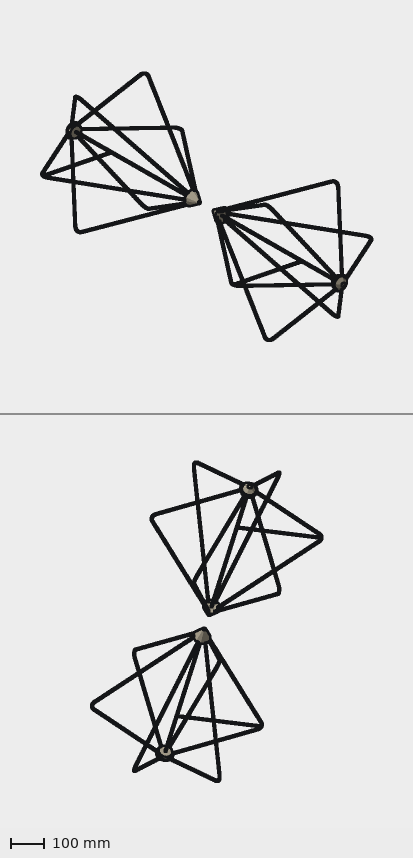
import cadquery as cq
import math


OVERALL_LENGTH = 1322.0

WIRE_DIAMETER = 6.3
WIRE_RADIUS = WIRE_DIAMETER / 2
WIRE_COUNT = 6
CAGE_RADIUS = 260.0
APEX_RADIUS = CAGE_RADIUS - WIRE_RADIUS
APEX_X = 457.0
BEND_RADIUS = 26.0
BRACE_X = 461.0

CONE_TIP_X = 36.0
CONE_BASE_X = 74.0
CONE_TIP_RADIUS = 5.0
CONE_BASE_RADIUS = 26.0

HUB_INNER_X = 633.0
HUB_FLANGE_X = 646.0
HUB_OUTER_X = OVERALL_LENGTH / 2
HUB_BODY_RADIUS = 21.0
HUB_FLANGE_RADIUS = 26.0
HUB_FACE_RADIUS = 7.0

WIRE_INNER_RADIUS = 16.0
WIRE_OUTER_RADIUS = 19.0
WIRE_INNER_END = (CONE_BASE_X - WIRE_DIAMETER, WIRE_INNER_RADIUS)
WIRE_OUTER_END = (HUB_FLANGE_X - WIRE_RADIUS, WIRE_OUTER_RADIUS)


def revolved(profile):
    """Turn a closed (x, radius) profile about the X axis."""
    return cq.Workplane("XY").polyline(profile).close().revolve(360, (0, 0, 0), (1, 0, 0))


def feed_cone():
    return revolved([
        (CONE_TIP_X, 0),
        (CONE_TIP_X, CONE_TIP_RADIUS),
        (CONE_BASE_X, CONE_BASE_RADIUS),
        (CONE_BASE_X, 0),
    ])


def hub():
    return revolved([
        (HUB_INNER_X, 0),
        (HUB_INNER_X, HUB_BODY_RADIUS),
        (HUB_FLANGE_X, HUB_BODY_RADIUS),
        (HUB_FLANGE_X, HUB_FLANGE_RADIUS),
        (HUB_OUTER_X, HUB_FACE_RADIUS),
        (HUB_OUTER_X, 0),
    ])


def axial_rod():
    overlap = WIRE_DIAMETER
    length = HUB_INNER_X - CONE_BASE_X + 2 * overlap
    return (
        cq.Workplane("YZ", origin=(CONE_BASE_X - overlap, 0, 0))
        .circle(WIRE_RADIUS)
        .extrude(length)
    )


def bend_tangent(end, side):
    """Point where a straight leg from `end` meets the bend; side is -1 or +1."""
    centre_x, centre_r = APEX_X, APEX_RADIUS - BEND_RADIUS
    dx, dr = end[0] - centre_x, end[1] - centre_r
    angle = math.atan2(dr, dx) + side * math.acos(BEND_RADIUS / math.hypot(dx, dr))
    return (centre_x + BEND_RADIUS * math.cos(angle), centre_r + BEND_RADIUS * math.sin(angle))


def bent_wire():
    """One wire in the XY plane on the +Y side: two straight legs and a round bend."""
    inner_tangent = bend_tangent(WIRE_INNER_END, -1)
    outer_tangent = bend_tangent(WIRE_OUTER_END, 1)
    path = (
        cq.Workplane("XY")
        .moveTo(*WIRE_INNER_END)
        .lineTo(*inner_tangent)
        .threePointArc((APEX_X, APEX_RADIUS), outer_tangent)
        .lineTo(*WIRE_OUTER_END)
    )
    start = cq.Vector(*WIRE_INNER_END, 0)
    direction = cq.Vector(*inner_tangent, 0) - start
    section = cq.Workplane(cq.Plane(origin=start, normal=direction)).circle(WIRE_RADIUS)
    return section.sweep(path)


def brace():
    """Radial rod from the axial rod to the bend of the -Y wire."""
    return (
        cq.Workplane("XZ", origin=(BRACE_X, 0, 0))
        .circle(WIRE_RADIUS)
        .extrude(APEX_RADIUS)
    )


def cage_half():
    half = feed_cone().union(hub()).union(axial_rod())
    wire = bent_wire()
    for index in range(WIRE_COUNT):
        half = half.union(wire.rotate((0, 0, 0), (1, 0, 0), index * 360 / WIRE_COUNT))
    return half.union(brace())


right_half = cage_half()
left_half = right_half.mirror("YZ")

result = cq.Compound.makeCompound([left_half.val(), right_half.val()])